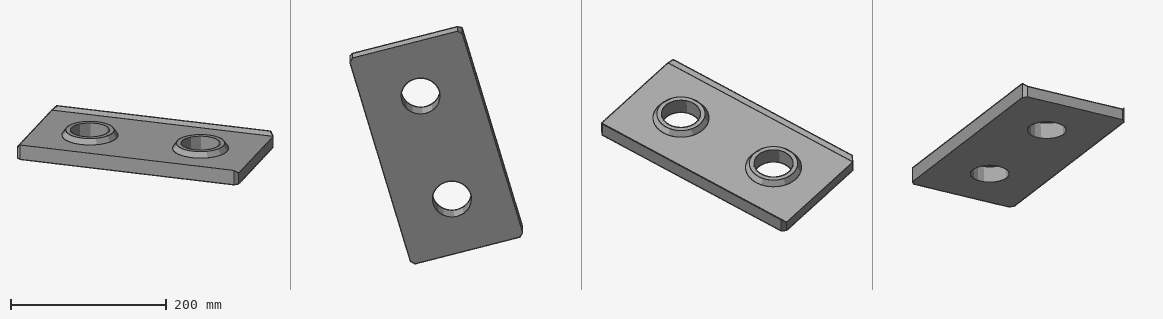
import cadquery as cq

length = 300.0
width = 150.0
plate_thickness = 15.0

lip_size = 5.0
corner_chamfer = lip_size

overall_height = 22.0
hole_spacing = length / 2
hole_diameter = 50.0
collar_base_diameter = 72.0
collar_top_diameter = 62.0
collar_height = overall_height - plate_thickness


def lipped_plate():
    """Plate whose long edges rise to sharp lips, with chamfered vertical corners."""
    half_width = width / 2
    lip_foot = half_width - lip_size
    lip_top = plate_thickness + lip_size
    profile = [
        (-half_width, 0),
        (half_width, 0),
        (half_width, lip_top),
        (lip_foot, plate_thickness),
        (-lip_foot, plate_thickness),
        (-half_width, lip_top),
    ]
    plate = cq.Workplane("YZ").polyline(profile).close().extrude(length / 2, both=True)
    outline = (
        cq.Workplane("XY")
        .rect(length, width)
        .extrude(lip_top)
        .edges("|Z")
        .chamfer(corner_chamfer)
    )
    return plate.intersect(outline)


def collar(x):
    """Solid cone frustum standing on the plate at the given X position."""
    frustum = cq.Solid.makeCone(
        collar_base_diameter / 2,
        collar_top_diameter / 2,
        collar_height,
        pnt=cq.Vector(x, 0, plate_thickness),
    )
    return cq.Workplane(obj=frustum)


def through_hole(x):
    """Cylinder that bores the plate and its collar."""
    return cq.Workplane("XY").center(x, 0).circle(hole_diameter / 2).extrude(overall_height)


result = lipped_plate()
for hole_x in (-hole_spacing / 2, hole_spacing / 2):
    result = result.union(collar(hole_x)).cut(through_hole(hole_x))